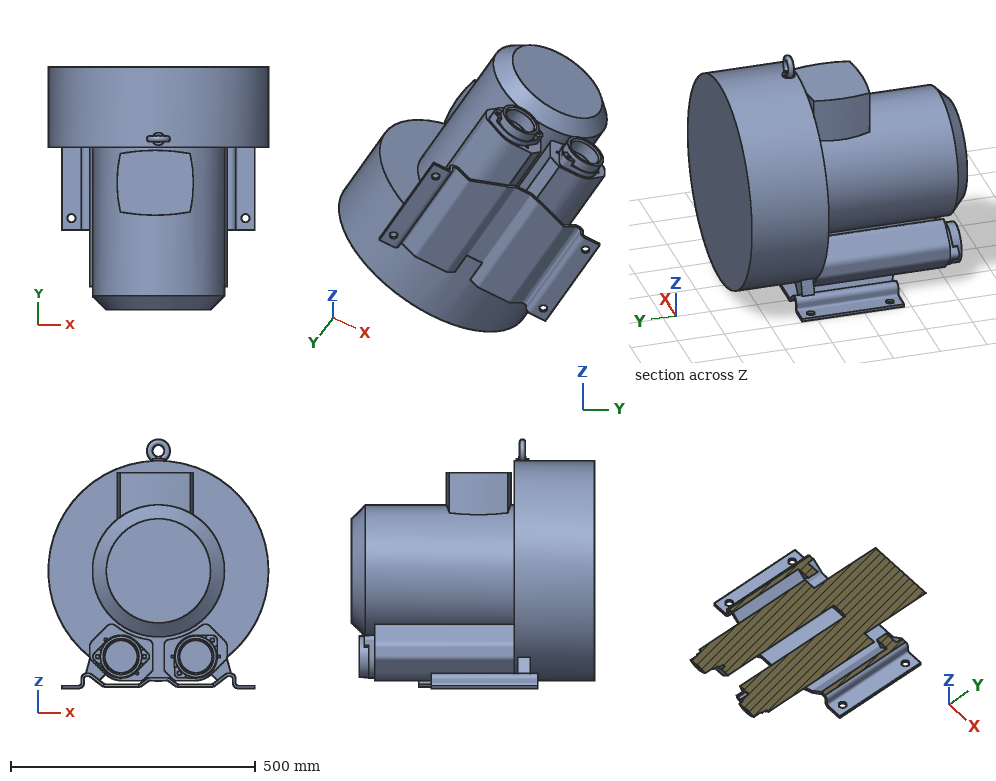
import cadquery as cq
import math


HOUSING_R = 225.0
HOUSING_DEPTH = 164.5
MOTOR_R = 135.0
MOTOR_LENGTH = 332.0
MOTOR_CHAMFER = 28.5

BOX_X = -6.5
BOX_Y = -72.5
BOX_TOP = 200.5
BOX_HALF_X = 71.5
BOX_HALF_Y = 59.5
BOX_BULGE = 6.5

TOTAL_HEIGHT = 509.5
FOOT_BOTTOM = -240.5
EYE_Y = 17.5
EYE_OUTER_R = 24.0
EYE_WIRE_R = 6.0
EYE_TOP = FOOT_BOTTOM + TOTAL_HEIGHT
EYE_Z = EYE_TOP - EYE_OUTER_R
EYE_RING_R = EYE_OUTER_R - EYE_WIRE_R
COLLAR_R = 12.5
COLLAR_TOP = 228.5
NECK_R = 7.0

DUCT_LENGTH = 284.5
DUCT_OUTER_X = 140.5
DUCT_INNER_X = 11.5
DUCT_BOTTOM = -224.5
DUCT_SIDE_TOP = -148.0
DUCT_SIDE_BOTTOM = -179.0
DUCT_INNER_CHAMFER = 21.0
MOTOR_CLEARANCE = 7.0
DUCT_PEAK_FILLET = 12.5
DUCT_INNER_FILLET = 11.0
DUCT_SHOULDER_FILLET = 18.5
DUCT_SIDE_FILLET = 12.0

NOZZLE_X = 76.5
NOZZLE_Z = -175.0
NOZZLE_LENGTH = 31.5
NOZZLE_R = 42.5
BORE_R = 33.0
BORE_CHAMFER = 3.5
FLANGE_R = 44.0
FLANGE_THICKNESS = 11.5
EAR_OFFSET = 48.0
EAR_R = 9.5
EAR_THICKNESS = 21.5
EAR_PAD_R = 15.0
EAR_HOLE_R = 4.0
DUCT_HOLE_R = 2.8
DUCT_HOLE_OFFSET = 47.5
DUCT_HOLE_DEPTH = 10.0
LEFT_EAR_ANGLE = 0
RIGHT_EAR_ANGLE = 45
LEFT_HOLE_ANGLES = (132, 314)
RIGHT_HOLE_ANGLES = (0, 180)

SHEET = 6.0
BRACKET_BACK = 49.0
BRACKET_FRONT = -169.0
TONGUE_FRONT = -195.0
TONGUE_HALF_WIDTH = 40.0
TONGUE_ROOT_HALF_WIDTH = 112.0
FOOT_HALF_SPAN = 197.0
FOOT_Z = FOOT_BOTTOM + SHEET / 2
RISER_X = 155.0
HUMP_X = 140.0
HUMP_Z = -212.5
PAD_OUTER_X = 111.5
PAD_INNER_X = 37.5
PAD_Z = -234.5
BRIDGE_X = 19.5
BRIDGE_Z = -221.0

BEND_INNER_R = 5.0
FOOT_HOLE_R = 8.0
FOOT_HOLE_X = 178.0
FOOT_HOLE_INSET = 24.5

SUPPORT_BACK = 33.5
SUPPORT_FRONT = 7.5
SUPPORT_OUTER_TOP = (132.5, -150.0)
SUPPORT_OUTER_BOTTOM = (149.0, HUMP_Z)
SUPPORT_INNER_BOTTOM = (122.0, -225.5)
SUPPORT_INNER_TOP = (91.5, -195.0)

JOIN_OVERLAP = 5.0


def extrude_outline(points, y_back, y_front):
    """Extrude a closed outline of (x, z) points between two Y positions."""
    plane = cq.Workplane("XZ", origin=(0, y_back, 0))
    return plane.polyline(points).close().extrude(y_back - y_front)


def cylinder_y(radius, y_back, y_front):
    """Cylinder on the Y axis between two Y positions."""
    plane = cq.Workplane("XZ", origin=(0, y_back, 0))
    return plane.circle(radius).extrude(y_back - y_front)


def mirror_x(points):
    return [(-x, z) for x, z in reversed(points)]


def make_housing_and_motor():
    housing = cylinder_y(HOUSING_R, HOUSING_DEPTH, 0)
    motor = cylinder_y(MOTOR_R, JOIN_OVERLAP, -MOTOR_LENGTH).faces("<Y").chamfer(MOTOR_CHAMFER)
    return housing.union(motor)


def make_terminal_box():
    a = BOX_HALF_X
    b = BOX_HALF_Y
    return (
        cq.Workplane("XY", origin=(BOX_X, BOX_Y, 0))
        .moveTo(-a, -b)
        .threePointArc((0, -b - BOX_BULGE), (a, -b))
        .threePointArc((a + BOX_BULGE, 0), (a, b))
        .threePointArc((0, b + BOX_BULGE), (-a, b))
        .threePointArc((-a - BOX_BULGE, 0), (-a, -b))
        .close()
        .extrude(BOX_TOP)
    )


def make_lifting_eye():
    ring = cq.Workplane(
        obj=cq.Solid.makeTorus(
            EYE_RING_R, EYE_WIRE_R, cq.Vector(0, EYE_Y, EYE_Z), cq.Vector(0, 1, 0)
        )
    )
    root_z = HOUSING_R - JOIN_OVERLAP
    root = cq.Workplane("XY", origin=(0, EYE_Y, root_z))
    collar = root.circle(COLLAR_R).extrude(COLLAR_TOP - root_z)
    neck = root.circle(NECK_R).extrude(EYE_Z - EYE_RING_R + EYE_WIRE_R - root_z)
    return ring.union(collar).union(neck)


def make_duct():
    """Duct on the +X side, hollowed along the top to follow the motor."""
    relief_r = MOTOR_R + MOTOR_CLEARANCE
    slope_offset = DUCT_SIDE_TOP + DUCT_OUTER_X
    peak_x = (slope_offset + math.sqrt(2 * relief_r**2 - slope_offset**2)) / 2
    peak = (peak_x, slope_offset - peak_x)
    inner_top = (DUCT_INNER_X, -math.sqrt(relief_r**2 - DUCT_INNER_X**2))
    shoulder = (DUCT_OUTER_X, DUCT_SIDE_TOP)
    side_bottom = (DUCT_OUTER_X, DUCT_SIDE_BOTTOM)
    bottom_outer = (DUCT_OUTER_X - (DUCT_SIDE_BOTTOM - DUCT_BOTTOM), DUCT_BOTTOM)
    bottom_inner = (DUCT_INNER_X + DUCT_INNER_CHAMFER, DUCT_BOTTOM)
    inner_bottom = (DUCT_INNER_X, DUCT_BOTTOM + DUCT_INNER_CHAMFER)

    relief_angle = (math.atan2(peak[1], peak[0]) + math.atan2(inner_top[1], inner_top[0])) / 2
    relief_mid = (relief_r * math.cos(relief_angle), relief_r * math.sin(relief_angle))
    duct = (
        cq.Workplane("XZ")
        .moveTo(*peak)
        .threePointArc(relief_mid, inner_top)
        .polyline([inner_bottom, bottom_inner, bottom_outer, side_bottom, shoulder], includeCurrent=True)
        .close()
        .extrude(DUCT_LENGTH)
    )
    rounded_corners = [
        (peak, DUCT_PEAK_FILLET),
        (inner_top, DUCT_INNER_FILLET),
        (shoulder, DUCT_SHOULDER_FILLET),
        (side_bottom, DUCT_SIDE_FILLET),
        (bottom_outer, NOZZLE_Z - DUCT_BOTTOM),
    ]
    for (x, z), radius in rounded_corners:
        corner = cq.NearestToPointSelector((x, -DUCT_LENGTH / 2, z))
        duct = duct.edges("|Y").edges(corner).fillet(radius)
    return duct


def flange_outline():
    """Rounded diamond: the flange circle with tangent lines to an ear on each side."""
    lean = math.asin((FLANGE_R - EAR_R) / EAR_OFFSET)
    side_x = FLANGE_R * math.sin(lean)
    side_z = FLANGE_R * math.cos(lean)
    tip_x = EAR_OFFSET + EAR_R * math.sin(lean)
    tip_z = EAR_R * math.cos(lean)
    tip = EAR_OFFSET + EAR_R
    return (
        cq.Workplane("XZ")
        .moveTo(side_x, side_z)
        .lineTo(tip_x, tip_z)
        .threePointArc((tip, 0), (tip_x, -tip_z))
        .lineTo(side_x, -side_z)
        .threePointArc((0, -FLANGE_R), (-side_x, -side_z))
        .lineTo(-tip_x, -tip_z)
        .threePointArc((-tip, 0), (-tip_x, tip_z))
        .lineTo(-side_x, side_z)
        .threePointArc((0, FLANGE_R), (side_x, side_z))
        .close()
    )


def make_nozzle(x, ear_angle):
    """Hose nozzle at the duct end, with the line through its ears turned by ear_angle."""
    flange = flange_outline().extrude(FLANGE_THICKNESS)
    ears = [(-EAR_OFFSET, 0), (EAR_OFFSET, 0)]
    pads = cq.Workplane("XZ").pushPoints(ears).circle(EAR_PAD_R).extrude(EAR_THICKNESS)
    pads = pads.intersect(flange_outline().extrude(EAR_THICKNESS))
    ear_holes = cq.Workplane("XZ").pushPoints(ears).circle(EAR_HOLE_R).extrude(EAR_THICKNESS)
    tube = cylinder_y(NOZZLE_R, 0, -NOZZLE_LENGTH)
    bore = cylinder_y(BORE_R, 0, -NOZZLE_LENGTH)
    flare = cq.Workplane(
        obj=cq.Solid.makeCone(
            BORE_R,
            BORE_R + BORE_CHAMFER,
            BORE_CHAMFER,
            cq.Vector(0, BORE_CHAMFER - NOZZLE_LENGTH, 0),
            cq.Vector(0, -1, 0),
        )
    )
    body = flange.union(pads).cut(ear_holes).union(tube).cut(bore).cut(flare)
    body = body.rotate((0, 0, 0), (0, 1, 0), -ear_angle)
    return body.translate((x, -DUCT_LENGTH, NOZZLE_Z))


def make_duct_holes(x, angles):
    """Blind holes in the duct end face, beside the nozzle flange."""
    holes = cq.Workplane("XZ", origin=(x, DUCT_HOLE_DEPTH - DUCT_LENGTH, NOZZLE_Z))
    centres = [
        (DUCT_HOLE_OFFSET * math.cos(math.radians(a)), DUCT_HOLE_OFFSET * math.sin(math.radians(a)))
        for a in angles
    ]
    return holes.pushPoints(centres).circle(DUCT_HOLE_R).extrude(DUCT_HOLE_DEPTH)


def offset_path(points, distance):
    """Shift an open path sideways, to the left of its direction, with mitred corners."""
    directions = []
    for (x0, z0), (x1, z1) in zip(points, points[1:]):
        length = math.hypot(x1 - x0, z1 - z0)
        directions.append(((x1 - x0) / length, (z1 - z0) / length))
    before = [directions[0]] + directions
    after = directions + [directions[-1]]
    shifted = []
    for (x, z), (ax, az), (bx, bz) in zip(points, before, after):
        scale = distance / (1 + ax * bx + az * bz)
        shifted.append((x - (az + bz) * scale, z + (ax + bx) * scale))
    return shifted


def make_bracket():
    half = [
        (-FOOT_HALF_SPAN, FOOT_Z),
        (-RISER_X, FOOT_Z),
        (-RISER_X, HUMP_Z),
        (-HUMP_X, HUMP_Z),
        (-PAD_OUTER_X, PAD_Z),
        (-PAD_INNER_X, PAD_Z),
        (-BRIDGE_X, BRIDGE_Z),
    ]
    centreline = half + mirror_x(half)
    upper = offset_path(centreline, SHEET / 2)
    lower = offset_path(centreline, -SHEET / 2)
    bracket = extrude_outline(upper + lower[::-1], BRACKET_BACK, TONGUE_FRONT)

    for i in range(1, len(centreline) - 1):
        (x0, z0), (x1, z1), (x2, z2) = centreline[i - 1 : i + 2]
        turns_left = (x1 - x0) * (z2 - z1) - (z1 - z0) * (x2 - x1) > 0
        inner, outer = (upper[i], lower[i]) if turns_left else (lower[i], upper[i])
        for (x, z), radius in ((inner, BEND_INNER_R), (outer, BEND_INNER_R + SHEET)):
            corner = cq.NearestToPointSelector((x, (BRACKET_BACK + TONGUE_FRONT) / 2, z))
            bracket = bracket.edges("|Y").edges(corner).fillet(radius)

    plan_half = [
        (-FOOT_HALF_SPAN, BRACKET_BACK),
        (-FOOT_HALF_SPAN, BRACKET_FRONT),
        (-TONGUE_ROOT_HALF_WIDTH, BRACKET_FRONT),
        (-TONGUE_HALF_WIDTH, TONGUE_FRONT),
    ]
    plan = (
        cq.Workplane("XY", origin=(0, 0, FOOT_BOTTOM))
        .polyline(plan_half + mirror_x(plan_half))
        .close()
        .extrude(-FOOT_BOTTOM)
    )
    hole_rows = (BRACKET_FRONT + FOOT_HOLE_INSET, BRACKET_BACK - FOOT_HOLE_INSET)
    hole_centres = [(side * FOOT_HOLE_X, y) for side in (-1, 1) for y in hole_rows]
    holes = (
        cq.Workplane("XY", origin=(0, 0, FOOT_BOTTOM))
        .pushPoints(hole_centres)
        .circle(FOOT_HOLE_R)
        .extrude(SHEET)
    )
    return bracket.intersect(plan).cut(holes)


def make_support():
    """Block on the +X side from inside the housing down to the middle of the sheet."""
    outline = [
        SUPPORT_OUTER_TOP,
        SUPPORT_OUTER_BOTTOM,
        (HUMP_X, HUMP_Z),
        SUPPORT_INNER_BOTTOM,
        SUPPORT_INNER_TOP,
    ]
    return extrude_outline(outline, SUPPORT_BACK, SUPPORT_FRONT)


result = make_housing_and_motor().union(make_terminal_box()).union(make_lifting_eye())
for half_part in (make_duct(), make_support()):
    result = result.union(half_part).union(half_part.mirror("YZ"))
result = result.union(make_bracket())
for nozzle_x, ear_angle, hole_angles in (
    (-NOZZLE_X, LEFT_EAR_ANGLE, LEFT_HOLE_ANGLES),
    (NOZZLE_X, RIGHT_EAR_ANGLE, RIGHT_HOLE_ANGLES),
):
    result = result.cut(make_duct_holes(nozzle_x, hole_angles))
    result = result.union(make_nozzle(nozzle_x, ear_angle))